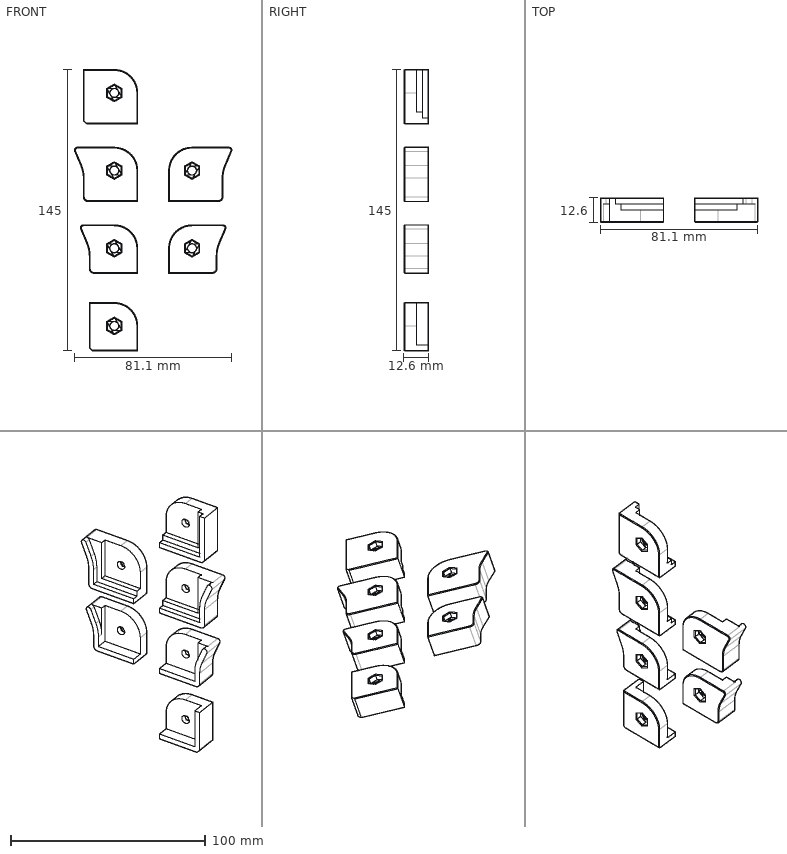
import cadquery as cq
import math


overall_height = 145.0
pitch = 40.0
row_count = 4

small_size = overall_height - (row_count - 1) * pitch
large_size = 28.0
thickness = 12.6
screw_inset = 12.0
edge_chamfer = 0.5
straight_corner_chamfer = 1.7
flared_corner_radius = 2.5

rim_wall = 3.0
large_ledge_wall = 2 * rim_wall
small_ledge_wall = rim_wall
step_depth = 3.0

flare_angle = math.radians(23)
bend_radius = 16.5
bend_start_z = -3.9
tip_radius = rim_wall / 2

screw_diameter = 4.5
nut_width = 7.0
nut_floor_y = -9.5
bridge_layer = 0.3


def flare_points(side_x, wall):
    """Start, middle and end of the bend, and the top end, of the flared side moved inward by `wall`."""
    center_x = side_x - bend_radius
    radius = bend_radius + wall

    def on_bend(angle):
        return center_x + radius * math.cos(angle), bend_start_z + radius * math.sin(angle)

    end_x, end_z = on_bend(flare_angle)
    top_x = end_x - (screw_inset - end_z) * math.tan(flare_angle)
    return on_bend(0), on_bend(flare_angle / 2), (end_x, end_z), (top_x, screw_inset)


def tip_center(side_x):
    """Center of the rounded tip, tangent to the top and to the flared side."""
    *_, (corner_x, corner_z) = flare_points(side_x, 0)
    tangent_length = tip_radius / math.tan((math.pi / 2 - flare_angle) / 2)
    return corner_x + tangent_length, corner_z - tip_radius


def prism(sketch, back_y, front_y):
    """Extrude a closed XZ sketch, drawn at Y = 0, between two depths."""
    return sketch.extrude(back_y - front_y).translate((0, back_y, 0))


def with_front_chamfer(block):
    return block.faces("<Y").chamfer(edge_chamfer)


def straight_block(size):
    """Plain square block with one rounded and one chamfered corner."""
    low = screw_inset - size
    sketch = cq.Workplane("XZ").moveTo(low, low).lineTo(screw_inset, low)
    sketch = sketch.lineTo(screw_inset, screw_inset).lineTo(low, screw_inset).close()
    block = prism(sketch, 0, -thickness)
    block = block.edges("|Y and >X and >Z").fillet(screw_inset)
    corner = cq.Workplane("XZ").moveTo(low, low).lineTo(low + straight_corner_chamfer, low)
    corner = corner.lineTo(low, low + straight_corner_chamfer).close()
    return with_front_chamfer(block).cut(prism(corner, 0, -thickness))


def flared_block(size):
    """Block whose outer side bends outward to a rounded tip at the top."""
    low = screw_inset - size
    bend_start, bend_middle, bend_end, tip = flare_points(low, 0)
    sketch = cq.Workplane("XZ").moveTo(low, low).lineTo(screw_inset, low)
    sketch = sketch.lineTo(screw_inset, screw_inset).lineTo(*tip).lineTo(*bend_end)
    sketch = sketch.threePointArc(bend_middle, bend_start).close()
    block = prism(sketch, 0, -thickness)
    block = block.edges("|Y and >X and >Z").fillet(screw_inset)
    block = block.edges("|Y and <X").fillet(tip_radius)
    block = block.edges(cq.selectors.NearestToPointSelector((low, -thickness / 2, low)))
    return with_front_chamfer(block.fillet(flared_corner_radius))


def step_cutter(size, wall, depth):
    """Square cutter for one recess step, reaching the top and inner sides."""
    low = screw_inset - size + wall
    sketch = cq.Workplane("XZ").moveTo(low, low).lineTo(screw_inset, low)
    sketch = sketch.lineTo(screw_inset, screw_inset).lineTo(low, screw_inset).close()
    return prism(sketch, 0, -depth)


def flared_step_cutter(size):
    """Cutter for the wide step that keeps an even wall along the flared side."""
    low = screw_inset - size
    bend_start, bend_middle, bend_end, _ = flare_points(low, rim_wall)
    tip_x, tip_z = tip_center(low)

    def on_tip(angle):
        return tip_x + tip_radius * math.cos(angle), tip_z + tip_radius * math.sin(angle)

    round_middle = on_tip((flare_angle + math.pi / 2) / 2)
    sketch = cq.Workplane("XZ").moveTo(low + rim_wall, low + rim_wall).lineTo(screw_inset, low + rim_wall)
    sketch = sketch.lineTo(screw_inset, screw_inset).lineTo(*on_tip(math.pi / 2))
    sketch = sketch.threePointArc(round_middle, on_tip(flare_angle)).lineTo(*bend_end)
    sketch = sketch.threePointArc(bend_middle, bend_start).close()
    return prism(sketch, 0, -step_depth)


def across_points(width):
    return width / math.cos(math.pi / 6)


def hexagon(width):
    """Hexagon of the given width across flats, with points up and down."""
    return cq.Workplane("XZ").transformed(rotate=(0, 0, 30)).polygon(6, across_points(width))


def fastener_cutter():
    """Screw hole and nut pocket, joined by two layers narrowed to parallel sides for bridging."""
    hole = prism(cq.Workplane("XZ").circle(screw_diameter / 2), 0, -thickness)
    pocket = prism(hexagon(nut_width), nut_floor_y, -thickness)
    mouth = hexagon(nut_width).workplane(offset=edge_chamfer)
    mouth = mouth.polygon(6, across_points(nut_width + 2 * edge_chamfer)).loft()
    mouth = mouth.translate((0, edge_chamfer - thickness, 0))
    first_slot = cq.Workplane("XZ").transformed(rotate=(0, 0, -60)).rect(2 * nut_width, screw_diameter)
    second_slot = cq.Workplane("XZ").rect(2 * nut_width, screw_diameter)
    first_y = nut_floor_y + bridge_layer
    second_y = first_y + bridge_layer
    narrowed = prism(hexagon(nut_width), second_y, nut_floor_y)
    narrowed = narrowed.intersect(prism(first_slot, second_y, nut_floor_y))
    crossed = narrowed.intersect(prism(second_slot, second_y, first_y))
    first_layer = narrowed.intersect(prism(hexagon(nut_width), first_y, nut_floor_y))
    return hole.union(pocket).union(mouth).union(first_layer).union(crossed)


def straight_guard(size, ledge_wall):
    guard = straight_block(size).cut(step_cutter(size, rim_wall, step_depth))
    return guard.cut(step_cutter(size, ledge_wall, 2 * step_depth)).cut(fastener_cutter())


def flared_guard(size, ledge_wall):
    guard = flared_block(size).cut(flared_step_cutter(size))
    return guard.cut(step_cutter(size, ledge_wall, 2 * step_depth)).cut(fastener_cutter())


def in_row(guard, row):
    return guard.translate((0, 0, -row * pitch))


straight_guards = [
    in_row(straight_guard(large_size, large_ledge_wall), 0),
    in_row(straight_guard(small_size, small_ledge_wall), 3),
]
left_flared_guards = [
    in_row(flared_guard(large_size, large_ledge_wall), 1),
    in_row(flared_guard(small_size, small_ledge_wall), 2),
]

right_flared_guards = [guard.mirror("YZ").translate((pitch, 0, 0)) for guard in left_flared_guards]

guards = straight_guards + left_flared_guards + right_flared_guards
result = cq.Compound.makeCompound([guard.val() for guard in guards])